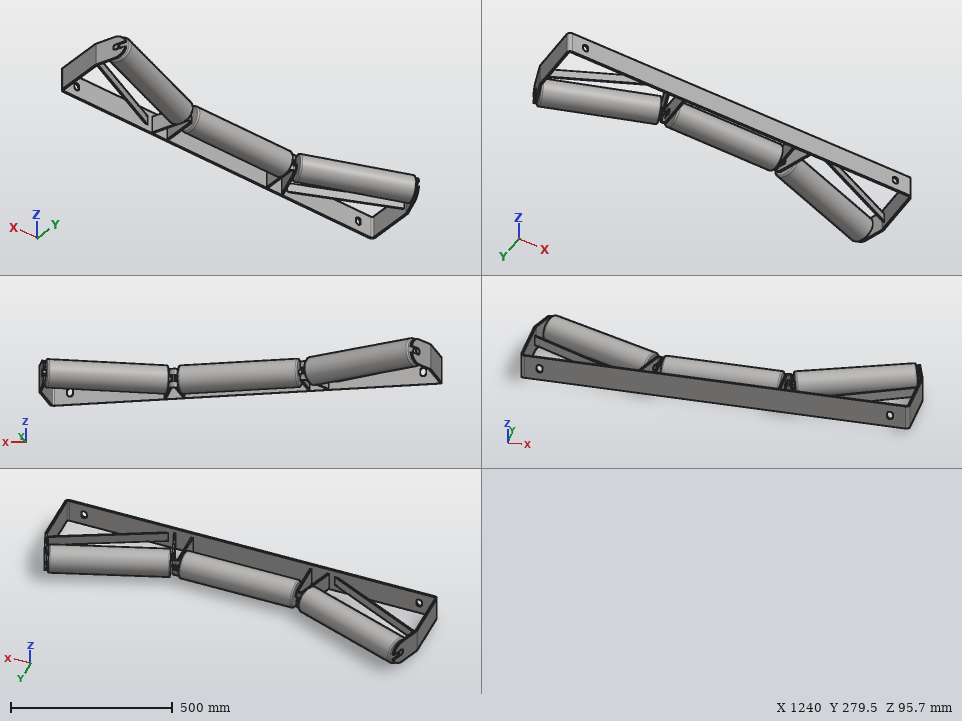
import cadquery as cq
import math


bar_thickness = 6.0
frame_length = 1240.0
frame_height = 80.0
frame_bend_radius = 6.0
arm_bend_y = 174.0
arm_length = 109.0
arm_angle = math.radians(20)
mount_slot_x = 559.0
mount_slot_width = 19.0
mount_slot_height = 27.0

roller_diameter = 89.0
roller_length = 378.0
roller_edge_radius = 5.0
roller_gap = 6.0
shaft_diameter = 20.0
shaft_chamfer = 1.0
centre_roller_y = 101.0
centre_roller_z = 33.0
wing_tilt = math.radians(1)
wing_shaft_along_arm = 73.6

bracket_height = 60.0
bracket_bend_radius = 3.0
bracket_top_y = 126.0

brace_thickness = 5.0
brace_height = 32.0
brace_foot_x = 277.0
brace_head_y = 163.0

half_length = frame_length / 2
mid_z = frame_height / 2
arm_tip_radius = frame_height / 2
shaft_length = roller_length + 2 * (roller_gap + bar_thickness)
slot_depth = frame_height
arm_direction = cq.Vector(math.sin(arm_angle), math.cos(arm_angle), 0)
arm_inward = cq.Vector(math.cos(arm_angle), -math.sin(arm_angle), 0)
wing_axis = arm_inward * math.cos(wing_tilt) - cq.Vector(0, 0, math.sin(wing_tilt))
arm_bend = cq.Vector(-half_length, arm_bend_y, 0)
arm_tip = arm_bend + arm_direction * arm_length
wing_start = arm_bend + arm_direction * wing_shaft_along_arm + cq.Vector(0, 0, mid_z)
wing_end = wing_start + wing_axis * shaft_length
centre_start = (-shaft_length / 2, centre_roller_y, centre_roller_z)

wing_plane = cq.Plane(wing_start.toTuple(), arm_direction.toTuple(), wing_axis.toTuple())
centre_plane = cq.Plane(centre_start, (0, 1, 0), (1, 0, 0))


def bent_bar(outer_points, base_z, height, bend_radius):
    """Flat bar bent along outer_points, with its thickness to the right of that path."""
    outer = [cq.Vector(x, y, base_z) for x, y in outer_points]
    runs = [(end - start).normalized() for start, end in zip(outer, outer[1:])]
    normals = [cq.Vector(run.y, -run.x, 0) for run in runs]
    normals_before = normals[:1] + normals
    normals_after = normals + normals[-1:]
    inner = []
    for point, before, after in zip(outer, normals_before, normals_after):
        miter = (before + after) * (bar_thickness / (1 + before.dot(after)))
        inner.append(point + miter)
    outline = [(point.x, point.y) for point in outer + inner[::-1]]
    bar = cq.Workplane("XY", origin=(0, 0, base_z)).polyline(outline).close().extrude(height)
    for corners, radius in ((inner, bend_radius), (outer, bend_radius + bar_thickness)):
        for corner in corners[1:-1]:
            edge_middle = (corner.x, corner.y, base_z + height / 2)
            bar = bar.edges(cq.selectors.NearestToPointSelector(edge_middle)).fillet(radius)
    return bar


def shaft_slot(plane, start, length):
    """Cutter for an open slot that fits the shaft, from start over length along the shaft."""
    base = cq.Workplane(plane).workplane(offset=start)
    seat = base.circle(shaft_diameter / 2).extrude(length)
    mouth = base.center(slot_depth / 2, 0).rect(slot_depth, shaft_diameter).extrude(length)
    return seat.union(mouth)


def arm_tip_cutter():
    """Material outside the half-round tip of the left arm."""
    tip_centre = arm_tip - arm_direction * arm_tip_radius + cq.Vector(0, 0, mid_z)
    arm_plane = cq.Plane(tip_centre.toTuple(), arm_direction.toTuple(), arm_inward.toTuple())
    base = cq.Workplane(arm_plane).workplane(offset=-bar_thickness)
    depth = 3 * bar_thickness
    blank = base.center(arm_tip_radius, 0).rect(2 * arm_tip_radius, 2 * frame_height).extrude(depth)
    return blank.cut(base.circle(arm_tip_radius).extrude(depth))


def make_frame():
    frame = bent_bar(
        [
            (-arm_tip.x, arm_tip.y),
            (half_length, arm_bend_y),
            (half_length, 0),
            (-half_length, 0),
            (-half_length, arm_bend_y),
            (arm_tip.x, arm_tip.y),
        ],
        0,
        frame_height,
        frame_bend_radius,
    )
    arm_slot = shaft_slot(wing_plane, -bar_thickness, 3 * bar_thickness)
    for cutter in (arm_tip_cutter(), arm_slot):
        frame = frame.cut(cutter).cut(cutter.mirror("YZ"))
    mount_slots = (
        cq.Workplane("XZ", origin=(0, 0, mid_z))
        .pushPoints([(-mount_slot_x, 0), (mount_slot_x, 0)])
        .slot2D(mount_slot_height, mount_slot_width, 90)
        .extrude(-bar_thickness)
    )
    return frame.cut(mount_slots)


def make_roller(plane):
    """Roller on its shaft; the shaft starts at the plane's origin."""
    shaft = cq.Workplane(plane).circle(shaft_diameter / 2).extrude(shaft_length)
    shaft = shaft.edges("%CIRCLE").chamfer(shaft_chamfer)
    shell_start = cq.Workplane(plane).workplane(offset=bar_thickness + roller_gap)
    shell = shell_start.circle(roller_diameter / 2).extrude(roller_length)
    shell = shell.edges("%CIRCLE").fillet(roller_edge_radius)
    return shell.union(shaft)


def make_bracket():
    """Left bracket: a sloping leg holds the wing roller and an upright leg the centre roller."""
    upright_x = -shaft_length / 2 + bar_thickness
    slope_face = wing_end - arm_inward * bar_thickness

    def slope_x(y):
        return slope_face.x + (y - slope_face.y) * math.tan(arm_angle)

    bracket = bent_bar(
        [
            (slope_x(bar_thickness), bar_thickness),
            (slope_x(bracket_top_y), bracket_top_y),
            (upright_x, bracket_top_y),
            (upright_x, bar_thickness),
        ],
        centre_roller_z - bracket_height / 2,
        bracket_height,
        bracket_bend_radius,
    )
    foot_trim = cq.Workplane("XY").box(frame_length, 2 * bar_thickness, 2 * frame_height)
    upright_slot = shaft_slot(centre_plane, 0, bar_thickness)
    slope_slot = shaft_slot(wing_plane, shaft_length - 1.5 * bar_thickness, 2 * bar_thickness)
    return bracket.cut(foot_trim).cut(upright_slot).cut(slope_slot)


def make_brace():
    """Left brace: a flat bar set diagonally between the long bar and the side leg."""
    foot = cq.Vector(-brace_foot_x, bar_thickness, 0)
    head = cq.Vector(-half_length + bar_thickness, brace_head_y, 0)
    run = (head - foot).normalized()
    foot_width = brace_thickness / run.y
    head_width = brace_thickness / -run.x
    outline = [
        (foot.x, foot.y),
        (head.x, head.y),
        (head.x, head.y - head_width),
        (foot.x - foot_width, foot.y),
    ]
    base = cq.Workplane("XY", origin=(0, 0, mid_z - brace_height / 2))
    return base.polyline(outline).close().extrude(brace_height)


frame = make_frame()
centre_roller = make_roller(centre_plane)
bodies = [frame, centre_roller]
for left_body in (make_bracket(), make_roller(wing_plane), make_brace()):
    bodies += [left_body, left_body.mirror("YZ")]

result = cq.Compound.makeCompound([body.solids().val() for body in bodies])